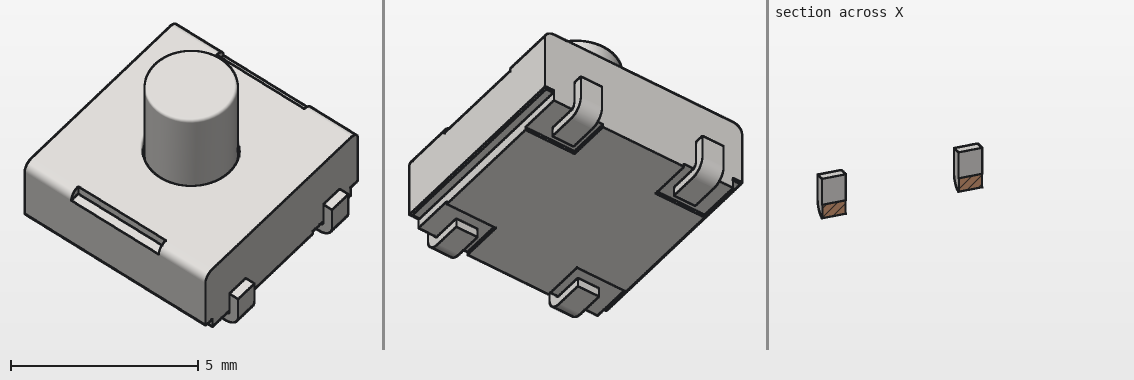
import cadquery as cq

total_height = 5.3
cover_top = 2.7
sheet = 0.3

cover_width = 6.2
cover_depth = 6.5
flange_bottom = 0.6
flange_edge_height = 0.06
flange_edge_inset = 0.03
notch_width = 3.0

body_bottom = 0.2
body_depth = cover_depth - 2 * sheet
foot_width = 3.6
foot_depth = 2.675

button_diameter = 2.5
button_edge_radius = 0.1
opening_diameter = 2.6
opening_edge_radius = 0.08
opening_depth = sheet

lead_span = 7
lead_width = 0.7
lead_spacing = 4.005
lead_top = 1.2
lead_inner_end = 2.2
lead_bend_radius = 0.45


def block(width, depth, bottom, top):
    """Box centred on the Z axis between two heights."""
    box = cq.Workplane("XY").box(width, depth, top - bottom, centered=(True, True, False))
    return box.translate((0, 0, bottom))


def make_body():
    slab = block(cover_width, body_depth, sheet, cover_top - sheet)
    foot_along_x = block(cover_width, foot_depth, body_bottom, sheet)
    foot_along_y = block(foot_width, body_depth, body_bottom, sheet)
    return slab.union(foot_along_x).union(foot_along_y)


def make_cover():
    cover = block(cover_width, cover_depth, flange_bottom, cover_top)
    cover = cover.edges("|X and >Z").fillet(sheet)
    cover = cover.faces("<Z").edges().chamfer(flange_edge_height, flange_edge_inset)
    notch_height = cover_top - sheet
    notch = block(notch_width, cover_depth, notch_height, cover_top)
    notch = notch.cut(block(notch_width, body_depth, notch_height, cover_top))
    return cover.cut(notch)


def make_lead():
    """Right-hand lead: a J-shaped strip turned up beside the body."""
    outer_x = lead_span / 2
    lead = (
        cq.Workplane("XZ")
        .moveTo(lead_inner_end, 0)
        .lineTo(outer_x, 0)
        .lineTo(outer_x, lead_top)
        .lineTo(outer_x - sheet, lead_top)
        .lineTo(outer_x - sheet, sheet)
        .lineTo(lead_inner_end, sheet)
        .close()
        .extrude(lead_width / 2, both=True)
    )
    outer_corner = cq.NearestToPointSelector((outer_x, 0, 0))
    inner_corner = cq.NearestToPointSelector((outer_x - sheet, 0, sheet))
    lead = lead.edges("|Y").edges(outer_corner).fillet(lead_bend_radius)
    return lead.edges("|Y").edges(inner_corner).fillet(lead_bend_radius - sheet)


def cut_opening(housing):
    opening = (
        cq.Workplane("XY")
        .workplane(offset=cover_top - opening_depth)
        .circle(opening_diameter / 2)
        .extrude(opening_depth)
    )
    housing = housing.cut(opening)
    rim = cq.NearestToPointSelector((0, 0, cover_top))
    return housing.faces(">Z").edges("%CIRCLE").edges(rim).fillet(opening_edge_radius)


def make_button():
    bottom = cover_top - opening_depth
    button = cq.Workplane("XY").workplane(offset=bottom).circle(button_diameter / 2)
    button = button.extrude(total_height - bottom)
    return button.faces(">Z").edges().fillet(button_edge_radius)


result = cut_opening(make_body().union(make_cover())).union(make_button())
right_lead = make_lead()
for lead in (right_lead, right_lead.mirror("YZ")):
    for side in (-1, 1):
        result = result.union(lead.translate((0, side * lead_spacing / 2, 0)))